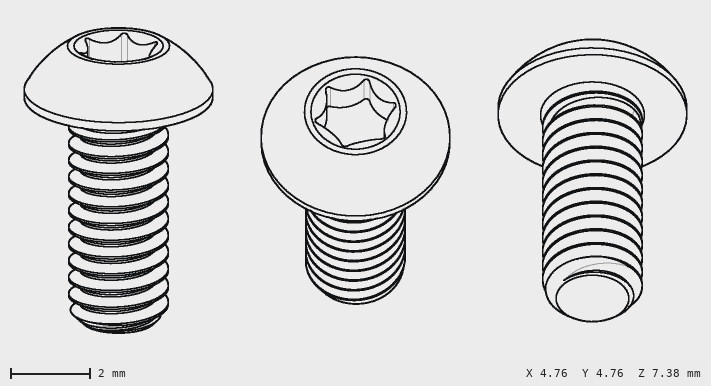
import cadquery as cq
import math

TOTAL_HEIGHT = 7.38
HEAD_RADIUS = 2.38
HEAD_HEIGHT = 1.38
RIM_HEIGHT = 0.22
HEAD_TOP_RADIUS = 1.285
DOME_MID_RADIUS = 2.07
DOME_MID_DROP = 0.695
SHANK_LENGTH = TOTAL_HEIGHT - HEAD_HEIGHT

NECK_RADIUS = 1.305
NECK_BASE_RADIUS = 0.96
NECK_LENGTH = 0.835
THREAD_RADIUS = 1.255
ROOT_RADIUS = 0.97
PITCH = 0.45
CREST_WIDTH = PITCH / 8
FLANK_ANGLE = 30.0
CREST_PHASE = 0.385
TIP_RADIUS = 0.915
ROOT_OVERLAP = 0.04
RUNOUT_TURNS = 0.25
TRIM_CLEARANCE = 0.075

SOCKET_DEPTH = 0.96
LOBE_COUNT = 6
LOBE_RADIUS = 1.04
WAIST_RADIUS = 0.79
BULGE_RADIUS = 0.885
MOUTH_RADIUS = 1.12
MOUTH_SLOPE = 30.0


def polar(radius, degrees):
    angle = math.radians(degrees)
    return (radius * math.cos(angle), radius * math.sin(angle))


def make_head_and_neck():
    """Revolve the domed head and the neck cone together."""
    return (
        cq.Workplane("XZ")
        .moveTo(0, SHANK_LENGTH - NECK_LENGTH)
        .lineTo(NECK_BASE_RADIUS, SHANK_LENGTH - NECK_LENGTH)
        .lineTo(NECK_RADIUS, SHANK_LENGTH)
        .lineTo(HEAD_RADIUS, SHANK_LENGTH)
        .lineTo(HEAD_RADIUS, SHANK_LENGTH + RIM_HEIGHT)
        .threePointArc(
            (DOME_MID_RADIUS, TOTAL_HEIGHT - DOME_MID_DROP),
            (HEAD_TOP_RADIUS, TOTAL_HEIGHT),
        )
        .lineTo(0, TOTAL_HEIGHT)
        .close()
        .revolve(360, (0, 0), (0, 1))
    )


def make_chamfered_cylinder(radius):
    """Cylinder ending inside the head, cut at the tip by the 45 degree chamfer."""
    top = SHANK_LENGTH + RIM_HEIGHT
    return (
        cq.Workplane("XZ")
        .lineTo(TIP_RADIUS, 0)
        .lineTo(radius, radius - TIP_RADIUS)
        .lineTo(radius, top)
        .lineTo(0, top)
        .close()
        .revolve(360, (0, 0), (0, 1))
    )


def make_threaded_shank():
    """Sweep a right-handed ridge from below the tip into the neck, trim it and join it to the core."""
    inner_radius = ROOT_RADIUS - ROOT_OVERLAP
    half_crest = CREST_WIDTH / 2
    flank_rise = (THREAD_RADIUS - inner_radius) * math.tan(math.radians(FLANK_ANGLE))
    half_base = half_crest + flank_rise
    start = CREST_PHASE - 2 * PITCH
    turns = math.floor((SHANK_LENGTH - start) / PITCH) + RUNOUT_TURNS
    path = cq.Wire.makeHelix(PITCH, turns * PITCH, inner_radius, cq.Vector(0, 0, start))
    ridge = (
        cq.Workplane("XZ")
        .moveTo(inner_radius, start + half_base)
        .lineTo(THREAD_RADIUS, start + half_crest)
        .lineTo(THREAD_RADIUS, start - half_crest)
        .lineTo(inner_radius, start - half_base)
        .close()
        .sweep(cq.Workplane(obj=path), isFrenet=True)
    )
    trimmed_ridge = ridge.intersect(make_chamfered_cylinder(THREAD_RADIUS + TRIM_CLEARANCE))
    return make_chamfered_cylinder(ROOT_RADIUS).union(trimmed_ridge)


def make_socket():
    """Six-lobe recess whose tip arcs are tangent to the bulges, limited by the mouth cone."""
    step = 360 / LOBE_COUNT
    bulge_center = WAIST_RADIUS + BULGE_RADIUS
    reach = bulge_center * math.cos(math.radians(step / 2))
    tip_arc_radius = (
        LOBE_RADIUS**2 + bulge_center**2 - 2 * LOBE_RADIUS * reach - BULGE_RADIUS**2
    ) / (2 * (LOBE_RADIUS + BULGE_RADIUS - reach))
    tip_center = LOBE_RADIUS - tip_arc_radius

    def touch_point(bulge_angle, tip_angle):
        bulge = cq.Vector(*polar(bulge_center, bulge_angle))
        tip = cq.Vector(*polar(tip_center, tip_angle))
        return (bulge + (tip - bulge).normalized() * BULGE_RADIUS).toTuple()[:2]

    outline = cq.Workplane("XY", origin=(0, 0, TOTAL_HEIGHT - SOCKET_DEPTH))
    outline = outline.moveTo(*touch_point(0, -step / 2))
    for index in range(LOBE_COUNT):
        bulge_angle = index * step
        tip_angle = bulge_angle + step / 2
        outline = outline.threePointArc(
            polar(WAIST_RADIUS, bulge_angle), touch_point(bulge_angle, tip_angle)
        )
        outline = outline.threePointArc(
            polar(LOBE_RADIUS, tip_angle), touch_point(bulge_angle + step, tip_angle)
        )
    recess = outline.close().extrude(SOCKET_DEPTH)

    mouth_depth = MOUTH_RADIUS * math.tan(math.radians(MOUTH_SLOPE))
    mouth_apex = cq.Vector(0, 0, TOTAL_HEIGHT - mouth_depth)
    mouth = cq.Solid.makeCone(0, MOUTH_RADIUS, mouth_depth, mouth_apex)
    return recess.union(cq.Workplane(obj=mouth))


head = make_head_and_neck().cut(make_socket())
result = head.union(make_threaded_shank())